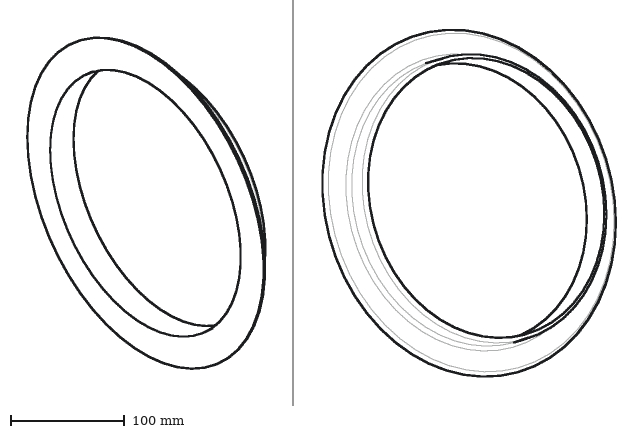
import cadquery as cq

flange_diameter = 310.0
bore_diameter = 250.0
wall_thickness = 4.0
flange_thickness = 4.0
total_depth = 28.0
round_radius = 3.7

flange_radius = flange_diameter / 2
bore_radius = bore_diameter / 2
collar_radius = bore_radius + wall_thickness

section = (
    cq.Workplane("XY")
    .moveTo(-bore_radius, 0)
    .lineTo(-flange_radius, 0)
    .lineTo(-flange_radius, flange_thickness - round_radius)
    .tangentArcPoint((round_radius, round_radius))
    .lineTo(-collar_radius - round_radius, flange_thickness)
    .tangentArcPoint((round_radius, round_radius))
    .lineTo(-collar_radius, total_depth - round_radius)
    .tangentArcPoint((round_radius, round_radius))
    .lineTo(-bore_radius, total_depth)
    .close()
)

result = section.revolve(360, (0, 0, 0), (0, 1, 0))